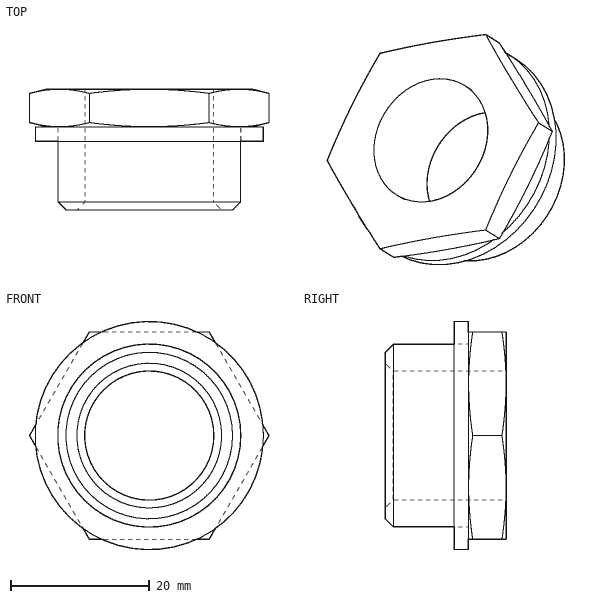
import cadquery as cq

corner_diameter = 34.65
head_length = 5.47
shank_diameter = 26.43
shank_length = 12.02
bore_diameter = 18.65
nose_chamfer = 1.18
bore_chamfer = 1.15
corner_bevel_depth = 0.62
bevel_face_diameter = 29.8
ring_outer_diameter = 33.0
ring_inner_diameter = 26.5
ring_thickness = 2.08

total_length = head_length + shank_length
nose_y = -total_length / 2
seat_y = nose_y + shank_length
head_end_y = total_length / 2


def cylinder(diameter, start_y, length):
    """Round bar along +Y from start_y."""
    return cq.Workplane("XZ", origin=(0, start_y, 0)).circle(diameter / 2).extrude(-length)


def make_head():
    """Hexagon with corners on +X and -X, its corners bevelled on both faces."""
    hexagon = (
        cq.Workplane("XZ", origin=(0, seat_y, 0))
        .polygon(6, corner_diameter)
        .extrude(-head_length)
    )
    corner_radius = corner_diameter / 2
    face_radius = bevel_face_diameter / 2
    bevel_envelope = (
        cq.Workplane("XY")
        .moveTo(0, seat_y)
        .lineTo(face_radius, seat_y)
        .lineTo(corner_radius, seat_y + corner_bevel_depth)
        .lineTo(corner_radius, head_end_y - corner_bevel_depth)
        .lineTo(face_radius, head_end_y)
        .lineTo(0, head_end_y)
        .close()
        .revolve(360, (0, 0, 0), (0, 1, 0))
    )
    return hexagon.intersect(bevel_envelope)


def make_plug():
    """Hexagon head and round shank with a bore right through."""
    shank = cylinder(shank_diameter, nose_y, shank_length)
    shank = shank.faces("<Y").chamfer(nose_chamfer)
    plug = make_head().union(shank)
    plug = plug.cut(cylinder(bore_diameter, nose_y, total_length))
    bore_mouth = plug.faces("<Y").edges(cq.selectors.RadiusNthSelector(0))
    return bore_mouth.chamfer(bore_chamfer)


def make_sealing_ring():
    """Flat ring seated on the head, loose around the shank."""
    ring_start_y = seat_y - ring_thickness
    ring = cylinder(ring_outer_diameter, ring_start_y, ring_thickness)
    return ring.cut(cylinder(ring_inner_diameter, ring_start_y, ring_thickness))


plug = make_plug()
sealing_ring = make_sealing_ring()
result = cq.Compound.makeCompound([plug.val(), sealing_ring.val()])